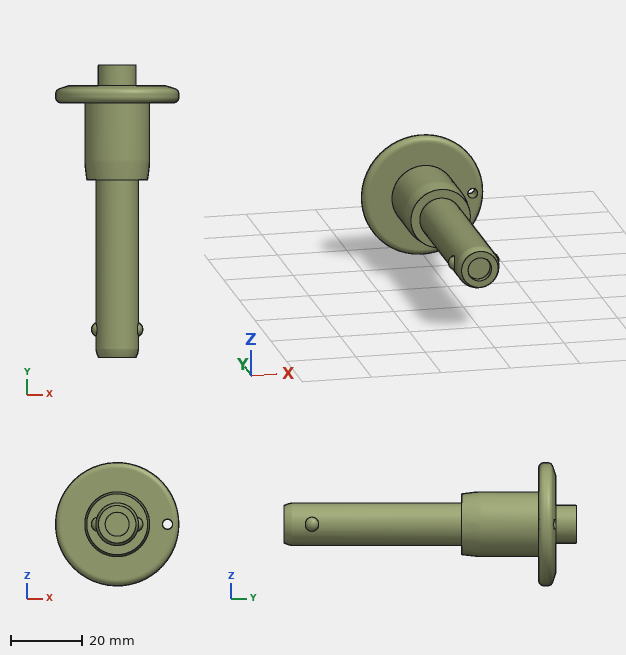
import cadquery as cq
import math

length = 82.3

shank_radius = 12.0 / 2
tip_radius = 5.3
tip_length = 2.3
tip_sag = 0.12
bore_diameter = 6.75
bore_depth = 2.0

ball_radius = 2.05
ball_y = 7.9
ball_reach = 7.25

collar_front_y = 49.95
collar_taper_length = 5.35
collar_radius = 18.3 / 2
collar_front_radius = 8.6
collar_sag = 0.1

flange_front_y = 71.6
flange_back_y = 76.45
flange_radius = 34.7 / 2
rim_round = 1.65
rim_band = 0.8
cone_angle = math.radians(18)
lanyard_hole_diameter = 2.8
lanyard_hole_x = 14.15

button_radius = 10.7 / 2
button_round = 0.3


def bulged_point(start, end, sag):
    """Middle of a profile segment, moved outward by the sag (Y increases from start to end)."""
    dx = end[0] - start[0]
    dy = end[1] - start[1]
    chord = math.hypot(dx, dy)
    return (
        (start[0] + end[0]) / 2 + sag * dy / chord,
        (start[1] + end[1]) / 2 - sag * dx / chord,
    )


def on_circle(center, radius, angle):
    return (center[0] + radius * math.cos(angle), center[1] + radius * math.sin(angle))


def make_turned_body():
    """Shank, collar, flange and button as one revolved profile (radius, y)."""
    tip_start = (tip_radius, 0)
    tip_end = (shank_radius, tip_length)
    taper_start = (collar_front_radius, collar_front_y)
    taper_end = (collar_radius, collar_front_y + collar_taper_length)

    round_center_radius = flange_radius - rim_round
    front_center = (round_center_radius, flange_front_y + rim_round)
    rear_center = (round_center_radius, front_center[1] + rim_band)
    cone_normal = math.pi / 2 - cone_angle
    cone_start = on_circle(rear_center, rim_round, cone_normal)
    cone_end_radius = cone_start[0] - (flange_back_y - cone_start[1]) / math.tan(cone_angle)

    button_center = (button_radius - button_round, length - button_round)

    profile = (
        cq.Workplane("XY")
        .moveTo(0, 0)
        .lineTo(*tip_start)
        .threePointArc(bulged_point(tip_start, tip_end, tip_sag), tip_end)
        .lineTo(shank_radius, collar_front_y)
        .lineTo(*taper_start)
        .threePointArc(bulged_point(taper_start, taper_end, collar_sag), taper_end)
        .lineTo(collar_radius, flange_front_y)
        .lineTo(round_center_radius, flange_front_y)
        .threePointArc(
            on_circle(front_center, rim_round, -math.pi / 4),
            (flange_radius, front_center[1]),
        )
        .lineTo(flange_radius, rear_center[1])
        .threePointArc(on_circle(rear_center, rim_round, cone_normal / 2), cone_start)
        .lineTo(cone_end_radius, flange_back_y)
        .lineTo(button_radius, flange_back_y)
        .lineTo(button_radius, button_center[1])
        .threePointArc(
            on_circle(button_center, button_round, math.pi / 4),
            (button_center[0], length),
        )
        .lineTo(0, length)
        .close()
    )
    return profile.revolve(360, (0, 0, 0), (0, 1, 0))


def make_cylinder_along_y(diameter, x, start_y, end_y):
    return cq.Workplane(
        cq.Solid.makeCylinder(
            diameter / 2, end_y - start_y, cq.Vector(x, start_y, 0), cq.Vector(0, 1, 0)
        )
    )


result = make_turned_body()

for side in (-1, 1):
    ball_x = side * (ball_reach - ball_radius)
    ball = cq.Workplane("XY").sphere(ball_radius).translate((ball_x, ball_y, 0))
    result = result.union(ball)

tip_bore = make_cylinder_along_y(bore_diameter, 0, 0, bore_depth)
lanyard_hole = make_cylinder_along_y(
    lanyard_hole_diameter, lanyard_hole_x, flange_front_y, flange_back_y
)
result = result.cut(tip_bore).cut(lanyard_hole)